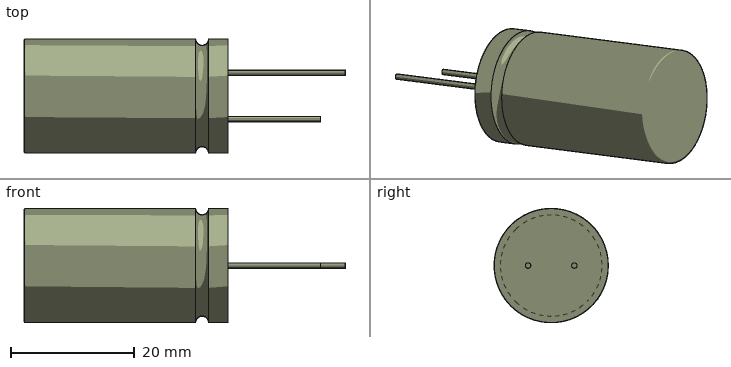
import cadquery as cq


overall_length = 52.0

can_diameter = 18.5
can_length = 33.05
closed_end_fillet = 0.25

groove_radius = 1.05
groove_center_x = 28.8

lead_diameter = 0.9
lead_spacing = 7.5
long_lead_length = overall_length - can_length
lead_length_difference = 4.0
short_lead_length = long_lead_length - lead_length_difference


def make_can():
    """Solid cylinder with a rounded closed end and a half-round crimp groove."""
    can_radius = can_diameter / 2
    can = cq.Workplane("YZ").circle(can_radius).extrude(can_length)
    can = can.faces("<X").edges().fillet(closed_end_fillet)
    groove_ring = cq.Solid.makeTorus(
        can_radius,
        groove_radius,
        cq.Vector(groove_center_x, 0, 0),
        cq.Vector(1, 0, 0),
    )
    return can.cut(cq.Workplane(groove_ring))


def make_lead(y, length):
    """Straight round wire starting on the lead-end face of the can."""
    lead_end_face = cq.Workplane("YZ", origin=(can_length, y, 0))
    return lead_end_face.circle(lead_diameter / 2).extrude(length)


can = make_can()

lead_layout = [
    (lead_spacing / 2, long_lead_length),
    (-lead_spacing / 2, short_lead_length),
]
leads = []
for lead_y, lead_length in lead_layout:
    leads.append(make_lead(lead_y, lead_length).val())

result = cq.Compound.makeCompound([can.val(), *leads])